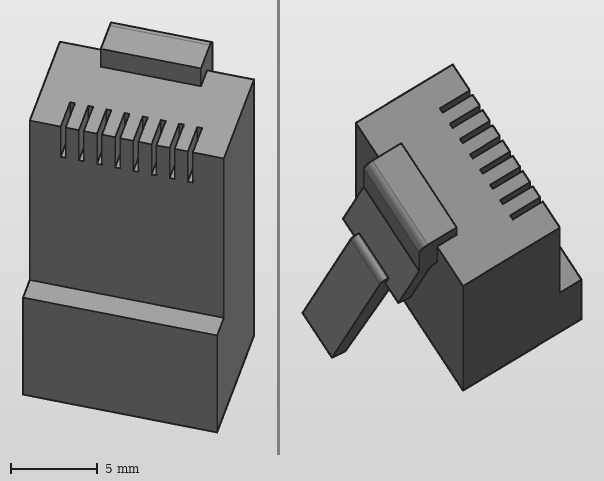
import cadquery as cq
import math

total_height = 22.6

body_width = 11.6
body_height = 21.13
base_depth = 8.07
upper_depth = 6.6
base_height = 8.0

slot_count = 8
slot_pitch = 1.08
slot_width = 0.3
slot_depth = 2.03
slot_height = 2.49

latch_width = 6.0
head_back = 1.22
head_front = -1.33
head_round = 0.59
strap_top = 18.37
strap_angle = math.radians(20)
strap_length = 4.15
strap_thickness = 0.88
strap_root = 17.97
root_round = 0.45

lever_width = 3.19
lever_length = 9.95
lever_overlap = 0.68
lever_step = 0.5
tip_thickness = 0.97
lever_round = 0.38


def extrude_across(profile, width):
    """Extrude a YZ profile symmetrically about X = 0."""
    return profile.extrude(width / 2, both=True)


def strap_point(along, outward):
    """YZ point measured down the strap's outer face and outward from it."""
    sine = math.sin(strap_angle)
    cosine = math.cos(strap_angle)
    return (
        head_back + along * sine + outward * cosine,
        strap_top - along * cosine + outward * sine,
    )


def make_body():
    profile = cq.Workplane("YZ").polyline([
        (0, 0),
        (-base_depth, 0),
        (-base_depth, base_height),
        (-upper_depth, base_height),
        (-upper_depth, body_height),
        (0, body_height),
    ]).close()
    return extrude_across(profile, body_width)


def cut_slots(body):
    for index in range(slot_count):
        x = (index - (slot_count - 1) / 2) * slot_pitch
        slot = cq.Workplane("XY").box(
            slot_width, slot_depth, slot_height, centered=(True, False, False)
        ).translate((x, -upper_depth, body_height - slot_height))
        body = body.cut(slot)
    return body


def make_strap():
    inner_end = strap_point(strap_length, -strap_thickness)
    root_y = inner_end[0] - (strap_root - inner_end[1]) * math.tan(strap_angle)
    profile = cq.Workplane("YZ").polyline([
        (head_front, total_height),
        (head_back, total_height),
        (head_back, strap_top),
        strap_point(strap_length, 0),
        inner_end,
        (root_y, strap_root),
        (head_front, strap_root),
    ]).close()
    strap = extrude_across(profile, latch_width)
    top_edge = cq.selectors.NearestToPointSelector((0, head_back, total_height))
    root_edge = cq.selectors.NearestToPointSelector((0, root_y, strap_root))
    strap = strap.edges(top_edge).fillet(head_round)
    return strap.edges(root_edge).fillet(root_round)


def make_lever():
    start = strap_length - lever_overlap
    end = start + lever_length
    profile = cq.Workplane("YZ").polyline([
        strap_point(start, -strap_thickness),
        strap_point(start, lever_step),
        strap_point(end, lever_step),
        strap_point(end, lever_step - tip_thickness),
        strap_point(strap_length, -strap_thickness),
    ]).close()
    lever = extrude_across(profile, lever_width)
    corner = cq.selectors.NearestToPointSelector((0, *strap_point(start, lever_step)))
    return lever.edges(corner).fillet(lever_round)


result = cut_slots(make_body()).union(make_strap()).union(make_lever())